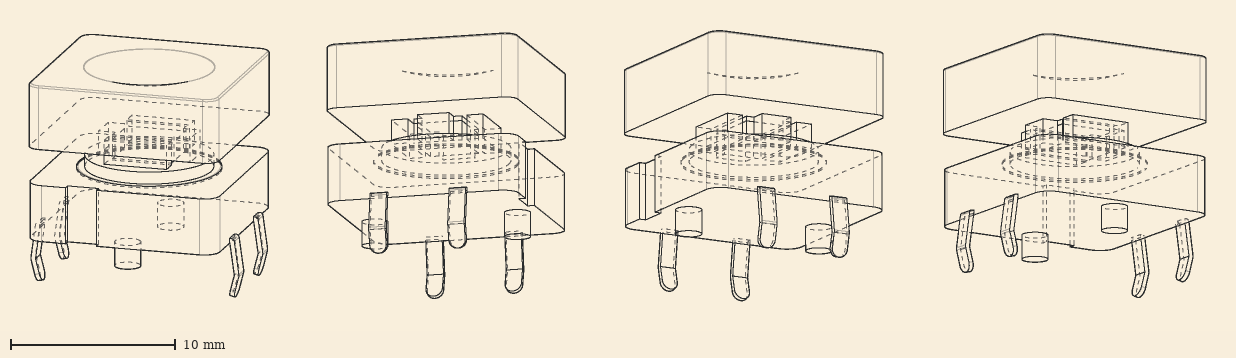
import cadquery as cq
import math

total_height = 13.3
side = 12.0

housing_height = 3.54
housing_corner = 1.0
housing_bottom = 3.5
housing_top = housing_bottom + housing_height

notch_width = 1.95
notch_depth = 0.43
notch_center_x = -2.5

collar_diameter = 8.85
collar_round = 0.1

peg_diameter = 1.6
peg_length = 1.5
peg_spacing = 8.99

flange_diameter = 7.85
flange_height = 0.76
flange_top = housing_top + flange_height

knee_span = 13.21
lead_width = 1.04
lead_thickness = 0.3
lead_pitch = 4.99
lead_rise = 0.3
lead_top = housing_bottom + lead_rise
lead_root_x = 6.28
lead_knee_height = 1.5
lead_tip_x = 6.22
lead_top_round = 0.2
lead_knee_round = 0.37

cap_height = 4.0
cap_bottom = total_height - cap_height
cap_corner = 0.8
cap_rim_round = 0.1
dish_diameter = 7.95
dish_depth = 0.76
dish_rim_round = 0.1

clip_height = cap_bottom - flange_top
clip_span = 5.8
clip_thickness = 1.04
clip_inset = (clip_span - clip_thickness) / 2
y_clip_width = 3.96
x_clip_width = 2.0

core_length = clip_span - 2 * clip_thickness
core_width = 3.03
boss_height = 0.29
core_height = clip_height - boss_height


def box(x_size, y_size, height, bottom):
    return cq.Workplane("XY").workplane(offset=bottom).rect(x_size, y_size).extrude(height)


def cylinder(diameter, height, bottom):
    return cq.Workplane("XY").workplane(offset=bottom).circle(diameter / 2).extrude(height)


def rounded_block(height, bottom, corner):
    return box(side, side, height, bottom).edges("|Z").fillet(corner)


def cut_notch(body):
    notch = box(notch_width, 2 * notch_depth, housing_height, housing_bottom)
    return body.cut(notch.translate((notch_center_x, -side / 2, 0)))


def cut_ring_groove(body):
    """Groove between the straight outer wall and the rounded edge of the collar."""
    outer = collar_diameter / 2
    inner = outer - collar_round
    bottom = housing_top - collar_round
    on_round = collar_round * math.sqrt(0.5)
    groove = (
        cq.Workplane("XZ")
        .moveTo(inner, housing_top)
        .threePointArc((inner + on_round, bottom + on_round), (outer, bottom))
        .lineTo(outer, housing_top)
        .close()
        .revolve(360, (0, 0, 0), (0, 1, 0))
    )
    return body.cut(groove)


def add_pegs(body):
    peg = cylinder(peg_diameter, peg_length, housing_bottom - peg_length)
    for y in (-peg_spacing / 2, peg_spacing / 2):
        body = body.union(peg.translate((0, y, 0)))
    return body


def add_plunger(body):
    body = body.union(cylinder(flange_diameter, flange_height, housing_top))
    return body.union(box(core_length, core_width, core_height, flange_top))


def round_edge_near(strip, point, radius):
    """Round the edge of the strip, running along Y, that is nearest to the point."""
    nearest = cq.selectors.NearestToPointSelector(point)
    return strip.edges("|Y").edges(nearest).fillet(radius)


def make_lead():
    """Lead of the +X side, centred on Y = 0: a strip with a knee and a round tip."""
    knee_x = knee_span / 2
    foot_angle = math.atan2(knee_x - lead_tip_x, lead_knee_height)
    across_x = lead_thickness * math.cos(foot_angle)
    across_z = lead_thickness * math.sin(foot_angle)
    strip = (
        cq.Workplane("XZ")
        .moveTo(lead_root_x - lead_thickness, lead_top)
        .lineTo(lead_root_x, lead_top)
        .lineTo(knee_x, lead_knee_height)
        .lineTo(lead_tip_x, 0)
        .lineTo(lead_tip_x - across_x, across_z)
        .lineTo(knee_x - lead_thickness, lead_knee_height)
        .close()
        .extrude(lead_width / 2, both=True)
    )
    strip = round_edge_near(strip, (knee_x, 0, lead_knee_height), lead_knee_round)
    strip = round_edge_near(strip, (lead_root_x, 0, lead_top), lead_top_round)
    foot_plane = cq.Plane(
        origin=(lead_tip_x, 0, 0),
        xDir=(0, 1, 0),
        normal=(math.cos(foot_angle), 0, -math.sin(foot_angle)),
    )
    half_width = lead_width / 2
    tip_outline = (
        cq.Workplane(foot_plane)
        .moveTo(-half_width, half_width)
        .threePointArc((0, 0), (half_width, half_width))
        .lineTo(half_width, total_height)
        .lineTo(-half_width, total_height)
        .close()
        .extrude(total_height, both=True)
    )
    return strip.intersect(tip_outline)


def add_leads(body):
    lead = make_lead()
    for turn in (0, 180):
        for y in (-lead_pitch / 2, lead_pitch / 2):
            placed = lead.translate((0, y, 0)).rotate((0, 0, 0), (0, 0, 1), turn)
            body = body.union(placed)
    return body


def make_housing():
    body = rounded_block(housing_height, housing_bottom, housing_corner)
    body = cut_notch(body)
    body = cut_ring_groove(body)
    body = add_plunger(body)
    body = add_pegs(body)
    return add_leads(body)


def cut_dish(body):
    radius = ((dish_diameter / 2) ** 2 + dish_depth ** 2) / (2 * dish_depth)
    ball = cq.Workplane("XY").sphere(radius)
    body = body.cut(ball.translate((0, 0, total_height - dish_depth + radius)))
    rim = cq.selectors.RadiusNthSelector(-1)
    return body.faces(">Z").edges("%CIRCLE").edges(rim).fillet(dish_rim_round)


def add_clips(body):
    x_clip = box(clip_thickness, x_clip_width, clip_height, flange_top)
    y_clip = box(y_clip_width, clip_thickness, clip_height, flange_top)
    for sign in (-1, 1):
        body = body.union(x_clip.translate((sign * clip_inset, 0, 0)))
        body = body.union(y_clip.translate((0, sign * clip_inset, 0)))
    return body


def make_cap():
    body = rounded_block(cap_height, cap_bottom, cap_corner)
    body = body.faces(">Z").edges().fillet(cap_rim_round)
    body = cut_dish(body)
    body = add_clips(body)
    return body.union(box(core_length, core_width, boss_height, cap_bottom - boss_height))


housing = make_housing()
cap = make_cap()
result = cq.Compound.makeCompound([housing.val(), cap.val()])